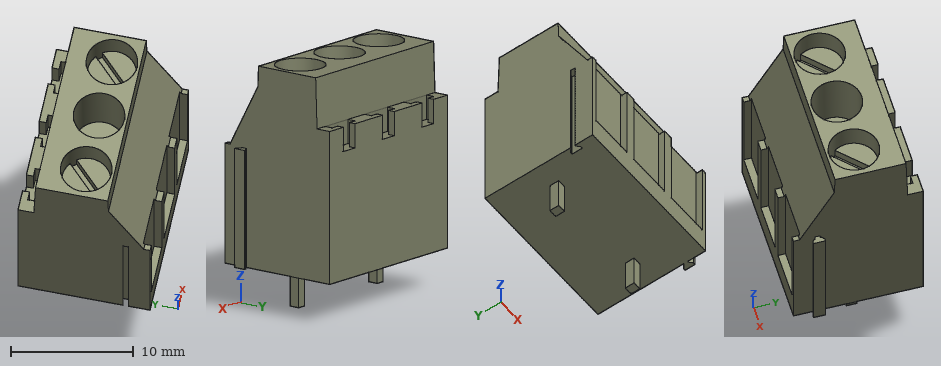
import cadquery as cq


width = 15.24
pole_count = 3
pitch = width / pole_count
depth = 11.0
height = 17.15
ledge_depth = 0.53
ledge_height = 10.1
shoulder_y = 3.46
shoulder_height = 15.42
top_front_y = 3.52
top_back_y = 9.53
step_y = 9.68
step_height = 12.87
pole_centers = [(index + 0.5) * pitch for index in range(pole_count)]
fitted_poles = [pole_centers[0], pole_centers[-1]]

panel_width = 4.15
panel_depth = 0.65
panel_bottom = 2.32
panel_shift = 0.02

tee_wide = 2.95
tee_narrow = 1.5
tee_mouth = 0.6
tee_pocket_depth = 2.04
tee_shift = 0.02

rib_y = 2.04
rib_neck_width = 0.45
rib_head_width = 1.02
rib_neck_length = 0.1
rib_flare_end = 0.4
overall_width = 15.85
rib_length = overall_width - width
rib_height = 10.02

well_y = 5.85
well_diameter = 4.2
well_depth = 4.89
screw_diameter = 4.0
screw_recess = 1.8
screw_length = well_depth - screw_recess
slot_width = 0.63
slot_depth = 0.73
slot_angle = 44

pin_width = 0.77
pin_thickness = 0.9
overall_height = 20.37
pin_length = overall_height - height
pin_y = 5.55


def make_block():
    """Housing side profile extruded along the row of poles."""
    profile = [
        (0, 0),
        (depth, 0),
        (depth, step_height),
        (step_y, step_height),
        (top_back_y, height),
        (top_front_y, height),
        (shoulder_y, shoulder_height),
        (ledge_depth, ledge_height),
        (0, ledge_height),
    ]
    return cq.Workplane("YZ").polyline(profile).close().extrude(width)


def make_panel_cutter(center_x):
    """Box that recesses one front panel and leaves it open at the top."""
    cutter_height = height - panel_bottom
    cutter = cq.Workplane("XY").box(panel_width, panel_depth, cutter_height, centered=(True, False, False))
    return cutter.translate((center_x + panel_shift, 0, panel_bottom))


def make_tee_cutter(center_x):
    """T-shaped pocket, narrow at the rear face and wide next to the upper wall."""
    floor = step_height - tee_pocket_depth
    wide_depth = depth - tee_mouth - step_y
    wide = cq.Workplane("XY").box(tee_wide, wide_depth, tee_pocket_depth, centered=(True, False, False))
    mouth = cq.Workplane("XY").box(tee_narrow, tee_mouth, tee_pocket_depth, centered=(True, False, False))
    tee = wide.union(mouth.translate((0, wide_depth, 0)))
    return tee.translate((center_x + tee_shift, step_y, floor))


def make_dovetail(face_x):
    """Vertical dovetail bar whose neck starts at face_x and whose head lies toward +X."""
    section = [
        (0, rib_neck_width / 2),
        (rib_neck_length, rib_neck_width / 2),
        (rib_flare_end, rib_head_width / 2),
        (rib_length, rib_head_width / 2),
    ]
    mirrored = [(x, -y) for x, y in reversed(section)]
    outline = [(face_x + x, rib_y + y) for x, y in section + mirrored]
    return cq.Workplane("XY").polyline(outline).close().extrude(rib_height)


def make_well_cutter(center_x):
    """Blind round well sunk from the top face."""
    return (
        cq.Workplane("XY", origin=(center_x, well_y, height - well_depth))
        .circle(well_diameter / 2)
        .extrude(well_depth)
    )


def make_housing():
    """Block with its panels, pockets, wells, rib and groove."""
    body = make_block()
    for center_x in pole_centers:
        body = body.cut(make_panel_cutter(center_x))
        body = body.cut(make_tee_cutter(center_x))
        body = body.cut(make_well_cutter(center_x))
    body = body.union(make_dovetail(width))
    return body.cut(make_dovetail(0))


def make_screw(center_x):
    """Slotted screw standing on the floor of its well."""
    screw = cq.Workplane("XY").circle(screw_diameter / 2).extrude(screw_length)
    slot = (
        cq.Workplane("XY", origin=(0, 0, screw_length - slot_depth))
        .box(screw_diameter, slot_width, slot_depth, centered=(True, True, False))
        .rotate((0, 0, 0), (0, 0, 1), slot_angle)
    )
    return screw.cut(slot).translate((center_x, well_y, height - well_depth))


def make_pin(center_x):
    """Rectangular solder pin hanging from the underside of the housing."""
    return (
        cq.Workplane("XY", origin=(center_x, pin_y, -pin_length))
        .rect(pin_width, pin_thickness)
        .extrude(pin_length)
    )


housing = make_housing()
screws = [make_screw(center_x).val() for center_x in fitted_poles]
pins = [make_pin(center_x).val() for center_x in fitted_poles]

result = cq.Compound.makeCompound([housing.val(), *screws, *pins])